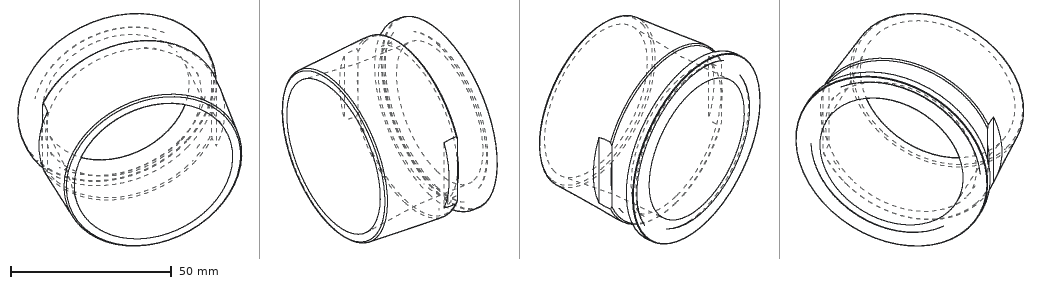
import cadquery as cq
import math

length = 40.0

flange_radius = 32.0
edge_break = 0.2
rim_end = 2.2
rim_round = 0.95
flange_back_angle = math.radians(20)
neck_radius = 26.0
neck_round = 2.0

shoulder_x = 12.0
shoulder_chamfer = 0.5
barrel_radius = 30.4
taper_start = 14.9
end_radius = 28.9
end_chamfer = 0.6

flat_distance = 27.45
flat_end = 17.1

bore_radius = 23.9
bore_exit_radius = 25.8
bore_taper_start = 20.0

groove_radius = 28.3
groove_lip_round = 0.9
groove_floor_round = 1.3
groove_wall_angle = math.radians(70)


def arc_point(center, radius, angle):
    """Point of a circle in the (x, r) half plane, with the angle measured from +X."""
    return (center[0] + radius * math.cos(angle), center[1] + radius * math.sin(angle))


def turn(profile):
    return profile.close().revolve(360, (0, 0, 0), (1, 0, 0))


def outer_body():
    rim_center = (rim_end, flange_radius - rim_round)
    rim_tangent = arc_point(rim_center, rim_round, flange_back_angle)
    rim_middle = arc_point(rim_center, rim_round, (math.pi / 2 + flange_back_angle) / 2)

    neck_center_r = neck_radius + neck_round
    slope_drop = rim_center[1] - neck_center_r
    neck_center_x = (
        rim_end
        + (rim_round + neck_round) / math.cos(flange_back_angle)
        + slope_drop * math.tan(flange_back_angle)
    )
    neck_center = (neck_center_x, neck_center_r)
    slope_end_angle = math.pi + flange_back_angle
    slope_end = arc_point(neck_center, neck_round, slope_end_angle)
    neck_middle = arc_point(neck_center, neck_round, (slope_end_angle + 1.5 * math.pi) / 2)

    shoulder_center = (shoulder_x - neck_round, neck_center_r)
    shoulder_middle = arc_point(shoulder_center, neck_round, -math.pi / 4)

    profile = (
        cq.Workplane("XZ")
        .moveTo(0, 0)
        .lineTo(0, flange_radius - edge_break)
        .lineTo(edge_break, flange_radius)
        .lineTo(rim_end, flange_radius)
        .threePointArc(rim_middle, rim_tangent)
        .lineTo(*slope_end)
        .threePointArc(neck_middle, (neck_center_x, neck_radius))
        .lineTo(shoulder_center[0], neck_radius)
        .threePointArc(shoulder_middle, (shoulder_x, neck_center_r))
        .lineTo(shoulder_x, barrel_radius - shoulder_chamfer)
        .lineTo(shoulder_x + shoulder_chamfer, barrel_radius)
        .lineTo(taper_start, barrel_radius)
        .lineTo(length - end_chamfer, end_radius)
        .lineTo(length, end_radius - end_chamfer)
        .lineTo(length, 0)
    )
    return turn(profile)


def bore():
    profile = (
        cq.Workplane("XZ")
        .moveTo(0, 0)
        .lineTo(0, bore_radius)
        .lineTo(bore_taper_start, bore_radius)
        .lineTo(length, bore_exit_radius)
        .lineTo(length, 0)
    )
    return turn(profile)


def gasket_groove():
    lip_width = groove_lip_round * math.sin(groove_wall_angle)
    lip_depth = groove_lip_round * (1 - math.cos(groove_wall_angle))
    floor_half_width = groove_floor_round * math.sin(groove_wall_angle)
    floor_depth = lip_depth + groove_floor_round * (1 - math.cos(groove_wall_angle))
    half_width = floor_half_width + lip_width
    inner_r = groove_radius - half_width
    outer_r = groove_radius + half_width

    half_angle = groove_wall_angle / 2
    inner_middle = arc_point((groove_lip_round, inner_r), groove_lip_round, math.pi - half_angle)
    outer_middle = arc_point((groove_lip_round, outer_r), groove_lip_round, math.pi + half_angle)
    profile = (
        cq.Workplane("XZ")
        .moveTo(0, inner_r)
        .threePointArc(inner_middle, (lip_depth, groove_radius - floor_half_width))
        .threePointArc((floor_depth, groove_radius), (lip_depth, groove_radius + floor_half_width))
        .threePointArc(outer_middle, (0, outer_r))
    )
    return turn(profile)


def wrench_flat(side):
    """Cutter for the flat on the +Y (side = 1) or -Y (side = -1) flank of the barrel."""
    cut_length = flat_end - shoulder_x
    cut_depth = flange_radius - flat_distance
    center = (
        shoulder_x + cut_length / 2,
        side * (flat_distance + cut_depth / 2),
        0,
    )
    return cq.Workplane("XY").box(cut_length, cut_depth, 2 * flange_radius).translate(center)


result = outer_body().cut(bore()).cut(gasket_groove())
for side in (-1, 1):
    result = result.cut(wrench_flat(side))